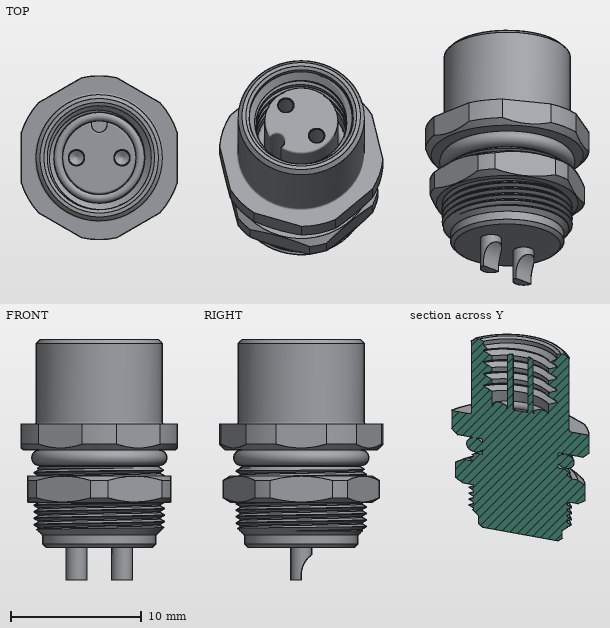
import cadquery as cq
import math


barrel_radius = 4.85
barrel_top = 8.5
barrel_chamfer = 0.3
barrel_base_fillet = 0.13

flange_height = 2.0
flange_across_flats = 12.0
flange_across_corners = 12.6
flange_chamfer = 0.45
nut_height = 2.05
nut_top = -1.98
nut_across_flats = 11.0
nut_across_corners = 12.0
nut_chamfer_width = 0.55
nut_chamfer_height = 0.36

seal_tube_radius = 0.6
seal_outer_radius = 5.2
neck_radius = 4.1

thread_crest_width = 0.06
thread_flank_angle = 30

thread_radius = 5.0
thread_root_radius = 4.7
thread_pitch = 0.5
thread_top = -2 * seal_tube_radius - 0.06
thread_top_radius = 4.55
thread_top_chamfer_height = 0.33
collar_height = 0.36
collar_clearance = 0.01
thread_start_angle = 180
thread_overrun = 1.0
thread_runs = [(-6.75, 7), (-2.75, 3)]
end_radius = 4.36
end_top = -6.55
end_bottom = -7.5
end_chamfer = 0.28

mouth_radius = 4.25
relief_radius = 4.0
mouth_chamfer_depth = 0.14
relief_depth = 0.49
bore_radius = 3.5
socket_depth = 5.5
socket_pitch = 1.0
socket_groove_radius = 3.99
socket_groove_turns = 4.1
socket_groove_depth = 4.55
socket_groove_start_angle = 270
inner_seal_clearance = 0.01
inner_seal_lift = 0.1

insert_radius = 2.81
insert_top = barrel_top - 0.8
insert_edge_fillet = 0.15
key_mouth_fillet = 0.08
key_radius = 0.6
key_center_y = 2.55
contact_spacing = 3.5
contact_hole_radius = 0.57
contact_hole_depth = 3.0
contact_hole_chamfer = 0.06
drill_point_angle = 59

pin_radius = 0.81
pin_length = 2.5
pin_cut_radius = 2.0
pin_cut_straight = 0.35

socket_floor = barrel_top - socket_depth
overlap = 0.04
contact_positions = [(-contact_spacing / 2, 0), (contact_spacing / 2, 0)]


def revolve_profile(points):
    """Revolve a closed (radius, z) outline about Z."""
    return cq.Workplane("XZ").polyline(points).close().revolve(360, (0, 0, 0), (0, 1, 0))


def hexagon(across_flats, bottom, height):
    """Hexagonal prism with two flats facing +X and -X."""
    corner_diameter = across_flats / math.cos(math.radians(30))
    prism = cq.Workplane("XY").workplane(offset=bottom).polygon(6, corner_diameter).extrude(height)
    return prism.rotate((0, 0, 0), (0, 0, 1), 30)


def helical_thread(crest_radius, depth, pitch, turns, bottom, start_angle):
    """Right-hand V thread of the given depth; the section reaches inward past its root by the overlap."""
    base_radius = crest_radius - depth - overlap
    base_width = thread_crest_width + 2 * (depth + overlap) * math.tan(math.radians(thread_flank_angle))
    path = cq.Workplane(cq.Wire.makeHelix(pitch, turns * pitch, base_radius))
    section = cq.Workplane("XZ").polyline([
        (base_radius, -base_width / 2),
        (crest_radius, -thread_crest_width / 2),
        (crest_radius, thread_crest_width / 2),
        (base_radius, base_width / 2),
    ]).close()
    thread = section.sweep(path, isFrenet=True)
    return thread.rotate((0, 0, 0), (0, 0, 1), start_angle).translate((0, 0, bottom))


def make_flange():
    radius = flange_across_corners / 2
    turned = revolve_profile([
        (0, 0),
        (radius - flange_chamfer, 0),
        (radius, flange_chamfer),
        (radius, flange_height),
        (0, flange_height),
    ])
    return turned.intersect(hexagon(flange_across_flats, 0, flange_height))


def make_nut():
    radius = nut_across_corners / 2
    face_radius = radius - nut_chamfer_width
    bottom = nut_top - nut_height
    turned = revolve_profile([
        (0, bottom),
        (face_radius, bottom),
        (radius, bottom + nut_chamfer_height),
        (radius, nut_top - nut_chamfer_height),
        (face_radius, nut_top),
        (0, nut_top),
    ])
    return turned.intersect(hexagon(nut_across_flats, bottom, nut_height))


def make_barrel():
    foot_radius = barrel_radius + barrel_base_fillet
    fillet_middle = barrel_base_fillet * (1 - math.sqrt(0.5))
    profile = (
        cq.Workplane("XZ")
        .moveTo(0, flange_height)
        .lineTo(foot_radius, flange_height)
        .threePointArc(
            (barrel_radius + fillet_middle, flange_height + fillet_middle),
            (barrel_radius, flange_height + barrel_base_fillet),
        )
        .lineTo(barrel_radius, barrel_top - barrel_chamfer)
        .lineTo(barrel_radius - barrel_chamfer, barrel_top)
        .lineTo(0, barrel_top)
        .close()
    )
    return profile.revolve(360, (0, 0, 0), (0, 1, 0))


def ring(outer_radius, tube_radius, center_z):
    section = cq.Workplane("XZ").center(outer_radius - tube_radius, center_z).circle(tube_radius)
    return section.revolve(360, (tube_radius - outer_radius, 0, 0), (tube_radius - outer_radius, 1, 0))


def make_shank():
    """Threaded shank with turned-down ends and a plain collar above the first thread."""
    clear_radius = thread_radius + overlap
    end_cone_height = clear_radius - end_radius
    chamfer_slope = thread_top_chamfer_height / (thread_radius - thread_top_radius)
    top_cone_height = chamfer_slope * (clear_radius - thread_top_radius)
    envelope = revolve_profile([
        (0, end_top),
        (end_radius, end_top),
        (clear_radius, end_top + end_cone_height),
        (clear_radius, thread_top - top_cone_height),
        (thread_top_radius, thread_top),
        (0, thread_top),
    ])
    core_length = thread_top - end_top + 2 * thread_overrun
    shank = (
        cq.Workplane("XY").workplane(offset=end_top - thread_overrun)
        .circle(thread_root_radius).extrude(core_length)
    )
    for bottom, turns in thread_runs:
        shank = shank.union(helical_thread(
            thread_radius, thread_radius - thread_root_radius, thread_pitch, turns, bottom, thread_start_angle,
        ))
    collar_bottom = thread_top - collar_height
    collar = (
        cq.Workplane("XY").workplane(offset=collar_bottom)
        .circle(thread_radius - collar_clearance).extrude(collar_height + thread_overrun)
    )
    return shank.union(collar).intersect(envelope)


def make_neck_and_end():
    return revolve_profile([
        (0, end_bottom),
        (end_radius - end_chamfer, end_bottom),
        (end_radius, end_bottom + end_chamfer),
        (end_radius, end_top),
        (neck_radius, end_top),
        (neck_radius, 0),
        (0, 0),
    ])


def make_socket():
    opening = revolve_profile([
        (0, socket_floor),
        (bore_radius, socket_floor),
        (bore_radius, barrel_top - relief_depth - (relief_radius - bore_radius)),
        (relief_radius, barrel_top - relief_depth),
        (relief_radius, barrel_top - mouth_chamfer_depth),
        (mouth_radius, barrel_top),
        (0, barrel_top),
    ])
    groove = helical_thread(
        socket_groove_radius, socket_groove_radius - bore_radius, socket_pitch, socket_groove_turns,
        barrel_top - socket_groove_depth, socket_groove_start_angle,
    )
    return opening.union(groove)


def make_insert():
    body = cq.Workplane("XY").workplane(offset=socket_floor).circle(insert_radius).extrude(insert_top - socket_floor)
    key_slot = (
        cq.Workplane("XY").workplane(offset=socket_floor).center(0, key_center_y + key_radius)
        .slot2D(4 * key_radius, 2 * key_radius, 90).extrude(insert_top - socket_floor)
    )
    body = body.cut(key_slot).edges("|Z").edges(">Y").fillet(key_mouth_fillet)
    return body.faces(">Z").edges().fillet(insert_edge_fillet)


def make_inner_seal():
    """Sealing ring filling the gap around the insert, half sunk in the socket floor."""
    outer_radius = bore_radius - inner_seal_clearance
    tube_radius = (outer_radius - insert_radius - inner_seal_clearance) / 2
    return ring(outer_radius, tube_radius, socket_floor + inner_seal_lift)


def make_contact_hole():
    floor = insert_top - contact_hole_depth
    tip = floor - contact_hole_radius / math.tan(math.radians(drill_point_angle))
    return revolve_profile([
        (0, tip),
        (contact_hole_radius, floor),
        (contact_hole_radius, insert_top - contact_hole_chamfer),
        (contact_hole_radius + contact_hole_chamfer, insert_top),
        (0, insert_top),
    ])


def make_pin():
    tip = end_bottom - pin_length
    pin = cq.Workplane("XY").workplane(offset=tip).circle(pin_radius).extrude(pin_length)
    arc_center_z = tip + pin_cut_straight
    scoop = (
        cq.Workplane("YZ").center(pin_cut_radius, arc_center_z).circle(pin_cut_radius)
        .extrude(pin_radius, both=True)
    )
    flat = cq.Workplane("XY").box(2 * pin_radius, pin_radius, pin_cut_straight, centered=(True, False, False))
    return pin.cut(scoop).cut(flat.translate((0, 0, tip)))


result = make_flange().union(make_barrel()).union(make_neck_and_end()).union(make_shank())
result = result.union(make_nut())
result = result.union(ring(seal_outer_radius, seal_tube_radius, -seal_tube_radius))
result = result.cut(make_socket())
result = result.union(make_insert())
result = result.union(make_inner_seal())
for x, y in contact_positions:
    result = result.cut(make_contact_hole().translate((x, y, 0)))
    result = result.union(make_pin().translate((x, y, 0)))